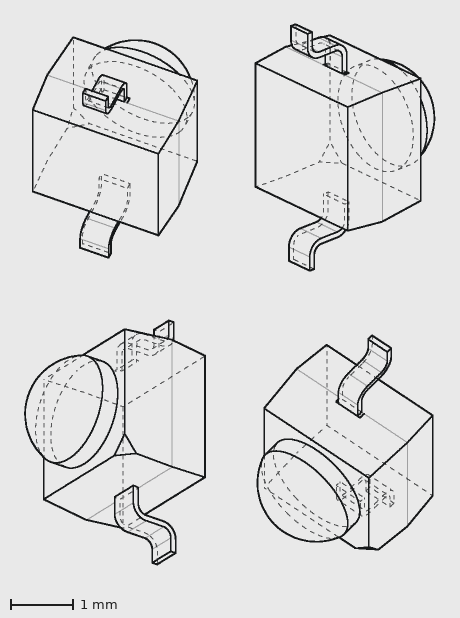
import cadquery as cq
import math

BODY_SIZE = 2.3
DRAFT_ANGLE = 4.0
REAR_DEPTH = 0.7
LENS_SIDE_DEPTH = 0.9

MARK_WIDTH = 0.28
MARK_DEPTH = 0.22

LENS_RADIUS = 0.9
DOME_RADIUS = 0.95

LEAD_THICKNESS = 0.1
LEAD_SPAN = 4.2
SHELF_HEIGHT = 1.7
BEND_OUTER_RADIUS = 0.25
FOOT_STANDOFF = 0.05
UPPER_LEAD_WIDTH = 0.4
LOWER_LEAD_WIDTH = 0.5
LEAD_ROOT_WIDTH = 0.5

half_body = BODY_SIZE / 2
draft_slope = math.tan(math.radians(DRAFT_ANGLE))


def make_body_half(depth, direction):
    """Drafted half of the body, growing from Y = 0 along direction (+1 or -1) Y."""
    plane = cq.Plane(origin=(0, 0, 0), xDir=(1, 0, 0), normal=(0, direction, 0))
    return cq.Workplane(plane).rect(BODY_SIZE, BODY_SIZE).extrude(depth, taper=DRAFT_ANGLE)


def make_corner_mark():
    """Cutter block lying outside the slanted plane across the -X, -Z corner of the lens face."""
    face_edge = half_body - LENS_SIDE_DEPTH * draft_slope
    mark_y = LENS_SIDE_DEPTH - MARK_DEPTH
    mark_edge = half_body - mark_y * draft_slope
    side_point = cq.Vector(-face_edge, LENS_SIDE_DEPTH, MARK_WIDTH - face_edge)
    bottom_point = cq.Vector(MARK_WIDTH - face_edge, LENS_SIDE_DEPTH, -face_edge)
    rear_point = cq.Vector(-mark_edge, mark_y, -mark_edge)
    outward = (bottom_point - side_point).cross(rear_point - side_point)
    cut_plane = cq.Plane(origin=rear_point.toTuple(), normal=outward.toTuple())
    return cq.Workplane(cut_plane).rect(BODY_SIZE, BODY_SIZE).extrude(MARK_WIDTH)


def make_lens():
    """Lens turned about the Y axis, rooted at the parting plane inside the body."""
    shoulder = LENS_SIDE_DEPTH + math.sqrt(DOME_RADIUS**2 - LENS_RADIUS**2)
    tip = LENS_SIDE_DEPTH + DOME_RADIUS
    middle_angle = math.acos(LENS_RADIUS / DOME_RADIUS) / 2 + math.pi / 4
    dome_middle = (
        DOME_RADIUS * math.cos(middle_angle),
        LENS_SIDE_DEPTH + DOME_RADIUS * math.sin(middle_angle),
    )
    return (
        cq.Workplane("XY")
        .lineTo(LENS_RADIUS, 0)
        .lineTo(LENS_RADIUS, shoulder)
        .threePointArc(dome_middle, (0, tip))
        .close()
        .revolve(360, (0, 0, 0), (0, 1, 0))
    )


def make_lead(width):
    """Gull-wing lead leaving the top (+Z) of the body and bending back to its foot."""
    foot_back = -REAR_DEPTH - FOOT_STANDOFF
    foot_front = foot_back + LEAD_THICKNESS
    shelf_bottom = SHELF_HEIGHT - LEAD_THICKNESS
    tip = LEAD_SPAN / 2
    inner_radius = BEND_OUTER_RADIUS - LEAD_THICKNESS
    first_bend_y = LEAD_THICKNESS - BEND_OUTER_RADIUS
    first_bend_z = SHELF_HEIGHT - BEND_OUTER_RADIUS
    foot_bend_y = foot_back + BEND_OUTER_RADIUS
    foot_bend_z = shelf_bottom + BEND_OUTER_RADIUS
    return (
        cq.Workplane("YZ")
        .lineTo(LEAD_THICKNESS, 0)
        .lineTo(LEAD_THICKNESS, first_bend_z)
        .radiusArc((first_bend_y, SHELF_HEIGHT), -BEND_OUTER_RADIUS)
        .lineTo(foot_bend_y, SHELF_HEIGHT)
        .radiusArc((foot_front, foot_bend_z), inner_radius)
        .lineTo(foot_front, tip)
        .lineTo(foot_back, tip)
        .lineTo(foot_back, foot_bend_z)
        .radiusArc((foot_bend_y, shelf_bottom), -BEND_OUTER_RADIUS)
        .lineTo(first_bend_y, shelf_bottom)
        .radiusArc((0, first_bend_z), inner_radius)
        .close()
        .extrude(width / 2, both=True)
    )


def make_lead_root():
    """Wide root of the upper lead, a sliver of which shows above the drafted body."""
    return cq.Workplane("XY").box(
        LEAD_ROOT_WIDTH, LEAD_THICKNESS, half_body, centered=(True, False, False)
    )


body = make_body_half(LENS_SIDE_DEPTH, 1).union(make_body_half(REAR_DEPTH, -1))
body = body.cut(make_corner_mark())

upper_lead = make_lead(UPPER_LEAD_WIDTH)
lower_lead = make_lead(LOWER_LEAD_WIDTH).mirror("XY")

result = body.union(make_lens()).union(make_lead_root()).union(upper_lead).union(lower_lead)